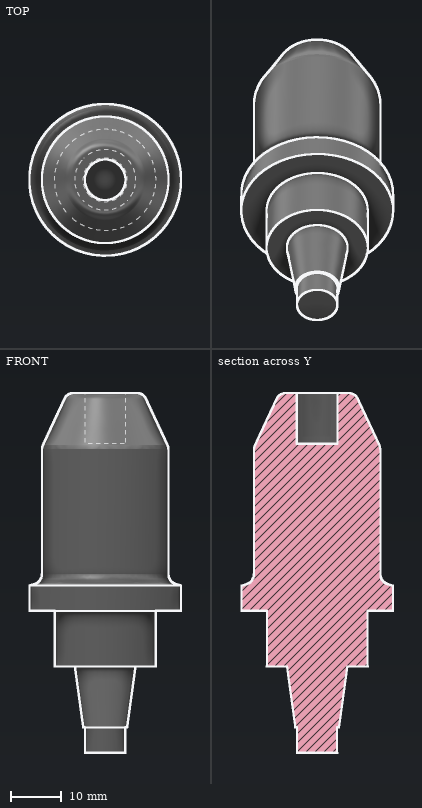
import cadquery as cq
import math

TIP_DIAMETER = 8.0
TIP_LENGTH = 5.0
TAPER_SMALL_DIAMETER = 8.7
TAPER_LARGE_DIAMETER = 12.0
TAPER_LENGTH = 12.0
SHANK_DIAMETER = 20.0
SHANK_LENGTH = 11.0

COLLAR_DIAMETER = 30.0
COLLAR_RIM_HEIGHT = 5.0
COLLAR_SLOPE_ANGLE = 15.0

BODY_DIAMETER = 25.0
NOSE_DIAMETER = 15.0
NOSE_HALF_ANGLE = 25.0
EDGE_RADIUS = 2.0
TOTAL_HEIGHT = 71.0

BORE_DIAMETER = 8.0
BORE_DEPTH = 10.0

TAPER_BOTTOM = TIP_LENGTH
SHANK_BOTTOM = TAPER_BOTTOM + TAPER_LENGTH
COLLAR_BOTTOM = SHANK_BOTTOM + SHANK_LENGTH
COLLAR_RIM_TOP = COLLAR_BOTTOM + COLLAR_RIM_HEIGHT
BODY_RADIUS = BODY_DIAMETER / 2
COLLAR_RADIUS = COLLAR_DIAMETER / 2
NOSE_RADIUS = NOSE_DIAMETER / 2
COLLAR_SLOPE_RISE = (COLLAR_RADIUS - BODY_RADIUS) * math.tan(math.radians(COLLAR_SLOPE_ANGLE))
BODY_BOTTOM = COLLAR_RIM_TOP + COLLAR_SLOPE_RISE
NOSE_LENGTH = (BODY_RADIUS - NOSE_RADIUS) / math.tan(math.radians(NOSE_HALF_ANGLE))
NOSE_BOTTOM = TOTAL_HEIGHT - NOSE_LENGTH


def turned_blank():
    """Half profile (radius, height) revolved about Z, corners still sharp."""
    profile = [
        (0, 0),
        (TIP_DIAMETER / 2, 0),
        (TIP_DIAMETER / 2, TAPER_BOTTOM),
        (TAPER_SMALL_DIAMETER / 2, TAPER_BOTTOM),
        (TAPER_LARGE_DIAMETER / 2, SHANK_BOTTOM),
        (SHANK_DIAMETER / 2, SHANK_BOTTOM),
        (SHANK_DIAMETER / 2, COLLAR_BOTTOM),
        (COLLAR_RADIUS, COLLAR_BOTTOM),
        (COLLAR_RADIUS, COLLAR_RIM_TOP),
        (BODY_RADIUS, BODY_BOTTOM),
        (BODY_RADIUS, NOSE_BOTTOM),
        (NOSE_RADIUS, TOTAL_HEIGHT),
        (0, TOTAL_HEIGHT),
    ]
    return cq.Workplane("XZ").polyline(profile).close().revolve(360, (0, 0, 0), (0, 1, 0))


def round_corner(part, height):
    """Round the circular edge lying at this height."""
    half_gap = EDGE_RADIUS / 20
    at_level = cq.selectors.BoxSelector(
        (-COLLAR_RADIUS, -COLLAR_RADIUS, height - half_gap),
        (COLLAR_RADIUS, COLLAR_RADIUS, height + half_gap),
    )
    return part.edges("%CIRCLE").edges(at_level).fillet(EDGE_RADIUS)


def bore():
    """Blind cylindrical hole entering from the nose."""
    return (
        cq.Workplane("XY")
        .workplane(offset=TOTAL_HEIGHT - BORE_DEPTH)
        .circle(BORE_DIAMETER / 2)
        .extrude(BORE_DEPTH)
    )


result = turned_blank()
for corner_height in (BODY_BOTTOM, NOSE_BOTTOM, TOTAL_HEIGHT):
    result = round_corner(result, corner_height)
result = result.cut(bore())